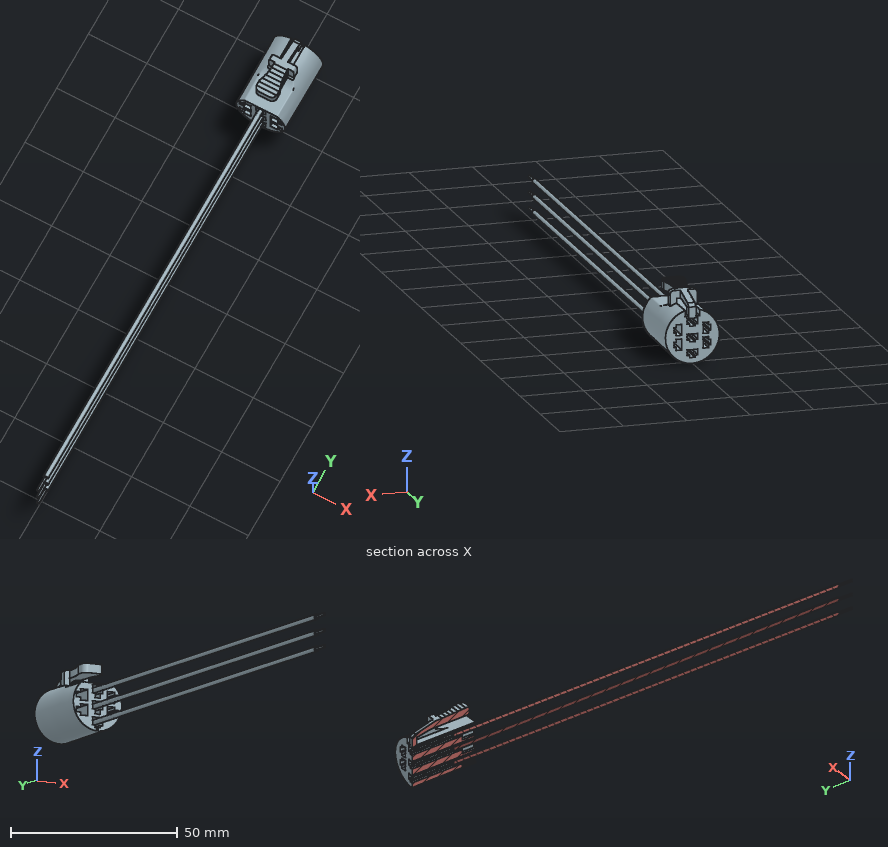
import cadquery as cq
import math

total_length = 164.1
body_radius = 8.5
body_front_radius = 8.4
body_length = 23.8
overall_top = 12.6

flat_height = 6.2
flat_edge_radius = 0.7
ledge_height = 7.2
ledge_end = 11.5
ramp_end = 15.1

channel_half = 2.3
arm_half = 1.1
arm_root = 2.0
arm_nose_height = 9.2
arm_nose_length = 1.3
arm_shoulder_height = 10.2
bridge_start = 8.7
bridge_end = 10.7
bridge_half = 4.3
bridge_top = 12.1
bridge_bottom = 9.7
bridge_round = 1.0
arm_underside_start = 8.7
arm_underside_end = 7.0

pad_neck_half = 2.3
pad_half = 3.5
pad_neck_end = 12.0
pad_taper_end = 18.0
pad_end = 21.5
pad_corner_radius = 1.6
grip_count = 7
grip_pitch = 1.5
grip_rise = (overall_top - bridge_top) / grip_count

cavity_width = 3.5
cavity_height = 2.5
passage_height = 1.8
stem_width = 1.6
stem_length = 1.5
bottom_stem_length = 0.7
notch_width = 0.5
notch_length = 0.7
pocket_depth = 5.0
row_pitch = 5.0
middle_row_height = -0.5
side_cavity_x = 4.6
side_cavity_z = 2.3

wire_diameter = 1.6
conductor_diameter = 0.8
strip_length = 5.0
wire_insertion = 8.2

row_heights = [middle_row_height + row * row_pitch for row in (-1, 0, 1)]


def block(x_min, x_max, start, end, z_min, z_max):
    """Box between two distances from the rear end."""
    return cq.Workplane("XY").box(
        x_max - x_min, end - start, z_max - z_min, centered=False
    ).translate((x_min, -end, z_min))


def side_profile(points, half_width):
    """Outline of (distance from rear, height) points, extruded symmetrically along X."""
    outline = [(-distance, height) for distance, height in points]
    return cq.Workplane("YZ").polyline(outline).close().extrude(half_width, both=True)


def body_shell():
    """Tapered round body with the top flat, its ramp and the latch channel."""
    draft = math.degrees(math.atan((body_radius - body_front_radius) / body_length))
    body = cq.Workplane("XZ").circle(body_radius).extrude(body_length, taper=draft)
    body = body.rotate((0, 0, 0), (0, 1, 0), 90)

    top_cut = (
        cq.Workplane("YZ")
        .moveTo(-bridge_end, ledge_height)
        .lineTo(-bridge_end, body_radius)
        .lineTo(-body_length, body_radius)
        .lineTo(-body_length, flat_height)
        .lineTo(-ramp_end, flat_height)
        .tangentArcPoint((-ledge_end, ledge_height), relative=False)
        .close()
        .extrude(body_radius, both=True)
    )
    body = body.cut(top_cut)

    flat_face = cq.selectors.NearestToPointSelector((0, -(ramp_end + body_length) / 2, flat_height))
    body = body.faces(flat_face).edges("not |X").fillet(flat_edge_radius)

    channel = block(-channel_half, channel_half, 0, ramp_end, flat_height, body_radius)
    return body.cut(channel)


def latch_arm():
    """Sloping arm that rises from the rear of the channel to the bridge."""
    return side_profile(
        [
            (0, flat_height),
            (0, arm_nose_height),
            (arm_nose_length, arm_shoulder_height),
            (bridge_start, bridge_top),
            (bridge_start, bridge_bottom),
            (arm_underside_end, bridge_bottom),
            (arm_root, arm_underside_start),
            (arm_root, flat_height),
        ],
        arm_half,
    )


def latch_bridge():
    """Bridge over the channel that stands on two legs."""
    bridge = block(-bridge_half, bridge_half, bridge_start, bridge_end, flat_height, bridge_top)
    bridge = bridge.edges("|Y and >Z").fillet(bridge_round)
    opening = block(
        -channel_half, channel_half, bridge_start, bridge_end, flat_height, bridge_bottom
    )
    return bridge.cut(opening)


def latch_pad():
    """Finger pad that widens toward its rounded end, with a stepped grip on top."""
    half_pad = (
        cq.Workplane("XY")
        .workplane(offset=bridge_bottom)
        .moveTo(0, -bridge_end)
        .lineTo(pad_neck_half, -bridge_end)
        .lineTo(pad_neck_half, -pad_neck_end)
        .tangentArcPoint((pad_half, -pad_taper_end), relative=False)
        .lineTo(pad_half, -pad_end)
        .lineTo(0, -pad_end)
        .close()
        .extrude(overall_top - bridge_bottom)
    )
    half_pad = half_pad.edges("|Z").edges("<Y").edges(">X").fillet(pad_corner_radius)
    pad = half_pad.union(half_pad.mirror("YZ"))

    for step in range(grip_count):
        tread_end = pad_end - (step + 1) * grip_pitch
        tread_height = overall_top - (step + 1) * grip_rise
        pad = pad.cut(block(-pad_half, pad_half, bridge_end, tread_end, tread_height, overall_top))
    return pad


def terminal_cavity(x, z, turn=0, stem_reach=stem_length):
    """Front pocket with a stem pointing down, and a passage to the rear; turned about Y."""
    half_width = cavity_width / 2
    half_stem = stem_width / 2
    top = cavity_height / 2
    pocket_start = body_length - pocket_depth
    pocket = block(-half_width, half_width, pocket_start, body_length, -top, top)
    stem = block(-half_stem, half_stem, pocket_start, body_length, -top - stem_reach, -top)
    passage = block(-half_width, half_width, 0, body_length, top - passage_height, top)
    passage_stem = block(-half_stem, half_stem, 0, body_length, -top, top)
    cavity = pocket.union(stem).union(passage).union(passage_stem)
    return cavity.rotate((0, 0, 0), (0, 1, 0), turn).translate((x, 0, z))


def bottom_notch(row_height):
    """Narrow notch that continues the stem of the bottom cavity toward the rim."""
    notch_top = row_height - cavity_height / 2 - bottom_stem_length
    return block(
        -notch_width / 2, notch_width / 2, body_length - pocket_depth, body_length,
        notch_top - notch_length, notch_top,
    )


def make_housing():
    housing = body_shell().union(latch_arm()).union(latch_bridge()).union(latch_pad())
    bottom_row, *upper_rows = row_heights
    for height in upper_rows:
        housing = housing.cut(terminal_cavity(0, height))
    housing = housing.cut(terminal_cavity(0, bottom_row, stem_reach=bottom_stem_length))
    housing = housing.cut(bottom_notch(bottom_row))
    for z in (-side_cavity_z, side_cavity_z):
        housing = housing.cut(terminal_cavity(-side_cavity_x, z, 90))
        housing = housing.cut(terminal_cavity(side_cavity_x, z, -90))
    return housing


def make_wire(height):
    """Insulated wire with a bare conductor at its free end."""
    wire_start = body_length - wire_insertion
    insulation_length = total_length - strip_length - wire_start
    wire = (
        cq.Workplane("XZ")
        .circle(wire_diameter / 2)
        .extrude(insulation_length)
        .faces("<Y")
        .workplane()
        .circle(conductor_diameter / 2)
        .extrude(strip_length)
    )
    return wire.translate((0, -wire_start, height))


housing = make_housing()
wires = [make_wire(height) for height in row_heights]

result = cq.Compound.makeCompound([housing.val(), *[wire.val() for wire in wires]])